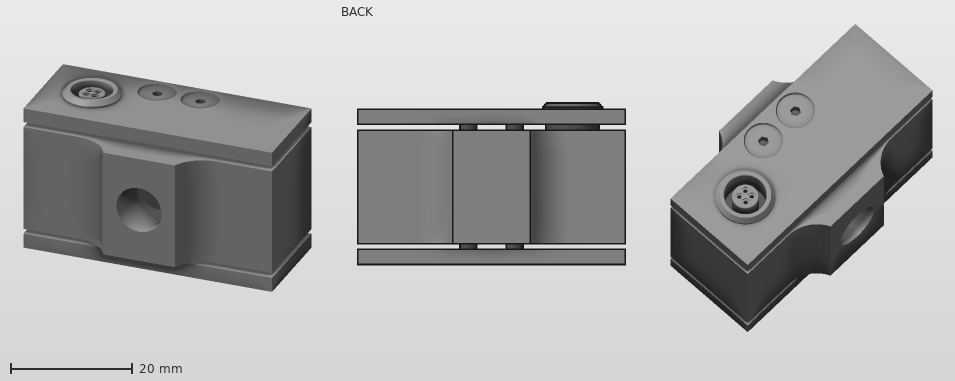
import cadquery as cq
import math

LENGTH = 44.2
WIDTH = 17.65
BOTTOM_PLATE_THICKNESS = 2.55
TOP_PLATE_THICKNESS = 2.5
LOWER_GAP = 0.9
UPPER_GAP = 0.95
BODY_HEIGHT = 18.8

BODY_BOTTOM = BOTTOM_PLATE_THICKNESS + LOWER_GAP
BODY_TOP = BODY_BOTTOM + BODY_HEIGHT
TOP_PLATE_BOTTOM = BODY_TOP + UPPER_GAP
TOP_PLATE_TOP = TOP_PLATE_BOTTOM + TOP_PLATE_THICKNESS
TOTAL_HEIGHT = 26.75

LUG_SPAN = 25.4
LUG_FACE_LENGTH = 12.75
LUG_ROOT_LENGTH = 24.4

CROSS_HOLE_DIAMETER = 8.05
CROSS_HOLE_DEPTH = 8.85

SCREW_SPACING = 7.65
SCREW_Y = 5.05
SHANK_DIAMETER = 2.85
SCREW_RECESS_DIAMETER = 6.5
SCREW_HEAD_DIAMETER = 6.15
SCREW_RECESS_DEPTH = 0.3
HEX_ACROSS_FLATS = 1.6
HEX_DEPTH = 1.33

CONNECTOR_X = -13.4
SHELL_DIAMETER = 8.9
RIM_DIAMETER = 9.9
RIM_TOP_DIAMETER = 8.5
RIM_EDGE_HEIGHT = 0.3
BORE_DIAMETER = 7.0
BORE_FILLET = 0.2
INSERT_DIAMETER = 4.45
INSERT_FILLET = 0.18
INSERT_RECESS = 0.65
SOCKET_SPACING = 1.45
SOCKET_MOUTH_DIAMETER = 1.3
SOCKET_MOUTH_DEPTH = 0.2
SOCKET_DIAMETER = 0.7
SOCKET_DEPTH = 1.33


def cylinder(diameter, bottom, top, x=0, y=0):
    """Upright cylinder between two heights."""
    return cq.Workplane("XY", origin=(x, y, bottom)).circle(diameter / 2).extrude(top - bottom)


def slab(bottom, thickness):
    """Full-length, full-width rectangular block starting at a given height."""
    return cq.Workplane("XY", origin=(0, 0, bottom)).rect(LENGTH, WIDTH).extrude(thickness)


def lugs():
    """Block crossing the body in Y, with a flared root on each of its four corners."""
    run = (LUG_ROOT_LENGTH - LUG_FACE_LENGTH) / 2
    rise = (LUG_SPAN - WIDTH) / 2
    radius = (run**2 + rise**2) / (2 * rise)
    half_sweep = math.asin(run / radius) / 2
    root_x = LUG_ROOT_LENGTH / 2
    root_y = WIDTH / 2
    tip_x = LUG_FACE_LENGTH / 2
    tip_y = LUG_SPAN / 2
    mid_x = root_x - radius * math.sin(half_sweep)
    mid_y = root_y + radius * (1 - math.cos(half_sweep))
    return (
        cq.Workplane("XY", origin=(0, 0, BODY_BOTTOM))
        .moveTo(-root_x, -root_y)
        .threePointArc((-mid_x, -mid_y), (-tip_x, -tip_y))
        .lineTo(tip_x, -tip_y)
        .threePointArc((mid_x, -mid_y), (root_x, -root_y))
        .lineTo(root_x, root_y)
        .threePointArc((mid_x, mid_y), (tip_x, tip_y))
        .lineTo(-tip_x, tip_y)
        .threePointArc((-mid_x, mid_y), (-root_x, root_y))
        .close()
        .extrude(BODY_HEIGHT)
    )


def body():
    """Central block with side lugs and the blind cross hole."""
    block = slab(BODY_BOTTOM, BODY_HEIGHT)
    cross_hole = (
        cq.Workplane("XZ", origin=(0, -LUG_SPAN / 2, BODY_BOTTOM + BODY_HEIGHT / 2))
        .circle(CROSS_HOLE_DIAMETER / 2)
        .extrude(-CROSS_HOLE_DEPTH)
    )
    return block.union(lugs()).cut(cross_hole)


def screw_shanks(x):
    """Lengths of screw shank bridging the two gaps."""
    lower = cylinder(SHANK_DIAMETER, BOTTOM_PLATE_THICKNESS, BODY_BOTTOM, x, SCREW_Y)
    upper = cylinder(SHANK_DIAMETER, BODY_TOP, TOP_PLATE_BOTTOM, x, SCREW_Y)
    return lower.union(upper)


def screw_head_recess(x):
    """Tapered recess down to the screw head, with the hex socket below it."""
    recess = (
        cq.Workplane("XY", origin=(x, SCREW_Y, TOP_PLATE_TOP))
        .circle(SCREW_RECESS_DIAMETER / 2)
        .workplane(offset=-SCREW_RECESS_DEPTH)
        .circle(SCREW_HEAD_DIAMETER / 2)
        .loft()
    )
    hex_socket = (
        cq.Workplane("XY", origin=(x, SCREW_Y, TOP_PLATE_TOP - SCREW_RECESS_DEPTH))
        .polygon(6, HEX_ACROSS_FLATS / math.cos(math.pi / 6))
        .extrude(-HEX_DEPTH)
    )
    return recess.union(hex_socket)


def connector_shell():
    """Shell through the top plate, with a rim tapered towards its top."""
    shell = cylinder(SHELL_DIAMETER, BODY_TOP, TOP_PLATE_TOP, CONNECTOR_X)
    rim_taper_height = TOTAL_HEIGHT - TOP_PLATE_TOP - RIM_EDGE_HEIGHT
    rim_inset = (RIM_DIAMETER - RIM_TOP_DIAMETER) / 2
    rim = (
        cylinder(RIM_DIAMETER, TOP_PLATE_TOP, TOTAL_HEIGHT, CONNECTOR_X)
        .faces(">Z")
        .edges()
        .chamfer(rim_taper_height, rim_inset)
    )
    return shell.union(rim)


def connector_bore():
    """Bore down to the body, with a rounded edge around its mouth."""
    mouth_radius = BORE_DIAMETER / 2 + BORE_FILLET
    fillet_bottom = TOTAL_HEIGHT - BORE_FILLET
    arc_offset = BORE_FILLET * math.cos(math.pi / 4)
    half_section = (
        cq.Workplane("XZ", origin=(CONNECTOR_X, 0, 0))
        .moveTo(0, BODY_TOP)
        .lineTo(BORE_DIAMETER / 2, BODY_TOP)
        .lineTo(BORE_DIAMETER / 2, fillet_bottom)
        .threePointArc((mouth_radius - arc_offset, fillet_bottom + arc_offset), (mouth_radius, TOTAL_HEIGHT))
        .lineTo(0, TOTAL_HEIGHT)
        .close()
    )
    return half_section.revolve(360, (0, 0, 0), (0, 1, 0))


def connector_insert():
    """Round-edged post in the middle of the bore, with four stepped contact sockets."""
    insert_top = TOTAL_HEIGHT - INSERT_RECESS
    insert = (
        cylinder(INSERT_DIAMETER, BODY_TOP, insert_top, CONNECTOR_X)
        .faces(">Z")
        .edges()
        .fillet(INSERT_FILLET)
    )
    return (
        insert.faces(">Z")
        .workplane(origin=(CONNECTOR_X, 0, insert_top))
        .rarray(SOCKET_SPACING, SOCKET_SPACING, 2, 2)
        .cboreHole(SOCKET_DIAMETER, SOCKET_MOUTH_DIAMETER, SOCKET_MOUTH_DEPTH, SOCKET_DEPTH)
    )


bottom_plate = slab(0, BOTTOM_PLATE_THICKNESS)
top_plate = slab(TOP_PLATE_BOTTOM, TOP_PLATE_THICKNESS)
result = body().union(bottom_plate).union(top_plate)
for screw_x in (-SCREW_SPACING / 2, SCREW_SPACING / 2):
    result = result.union(screw_shanks(screw_x)).cut(screw_head_recess(screw_x))
result = result.union(connector_shell()).cut(connector_bore()).union(connector_insert())